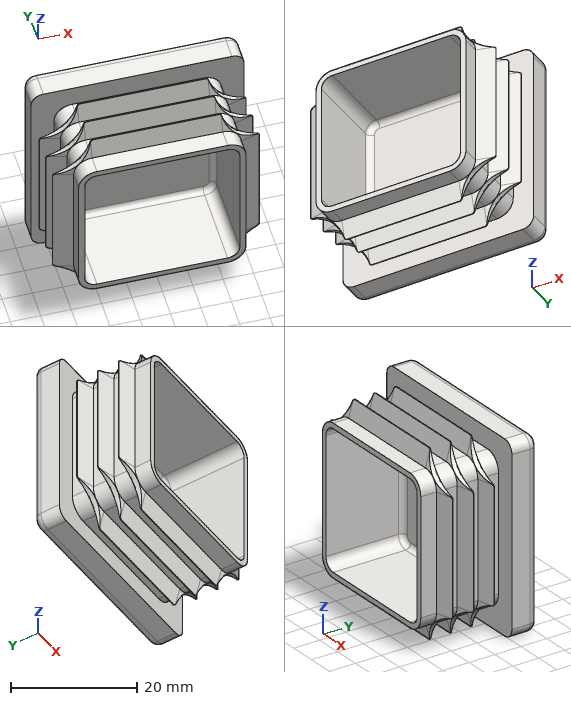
import cadquery as cq
import math

cap_side = 35.0
cap_thickness = 5.0
cap_corner_radius = 2.0
cap_edge_fillet = 1.5

total_depth = 20.0
plug_depth = total_depth - cap_thickness
plug_side = 27.5
plug_corner_radius = 3.0
plug_wall = 1.0
cavity_side = plug_side - 2 * plug_wall
cavity_corner_radius = plug_corner_radius - plug_wall
floor_fillet = 1.0

fin_count = 3
fin_side = 34.02
fin_offset = 3.0
fin_pitch = 4.0
fin_root_thickness = 0.98
fin_tip_thickness = 0.1
fin_tip_corner_radius = plug_corner_radius + (fin_side - plug_side) / 2
fin_notch_radius = 8.0
fin_notch_gap = 0.05
fin_end_fillet = 0.5


def rounded_square(side, corner_radius):
    """Sketch of a centred square with rounded corners."""
    return cq.Sketch().rect(side, side).vertices().fillet(corner_radius)


def make_cap():
    profile = rounded_square(cap_side, cap_corner_radius)
    cap = cq.Workplane("XZ").placeSketch(profile).extrude(-cap_thickness)
    return cap.faces(">Y").edges().fillet(cap_edge_fillet)


def make_plug():
    profile = rounded_square(plug_side, plug_corner_radius)
    return cq.Workplane("XZ").placeSketch(profile).extrude(plug_depth)


def make_cavity():
    """Hollow of the plug, with its floor level with the cap's inner face."""
    profile = rounded_square(cavity_side, cavity_corner_radius)
    cavity = cq.Workplane("XZ").placeSketch(profile).extrude(plug_depth)
    return cavity.faces(">Y").edges().fillet(floor_fillet)


def make_fin_outline():
    """Prism of the fin's square outline with a concave notch at each corner."""
    corner_centre = plug_side / 2 - plug_corner_radius
    diagonal_reach = plug_corner_radius + fin_notch_gap + fin_notch_radius
    notch_centre = corner_centre + diagonal_reach / math.sqrt(2)
    notch_spacing = 2 * notch_centre
    outline = cq.Workplane("XZ").rect(fin_side, fin_side).extrude(fin_root_thickness)
    notches = (
        cq.Workplane("XZ")
        .rect(notch_spacing, notch_spacing, forConstruction=True)
        .vertices()
        .circle(fin_notch_radius)
        .extrude(fin_root_thickness)
    )
    return outline.cut(notches).edges("|Y").fillet(fin_end_fillet)


def make_fin():
    """One fin with its flat face on y = 0, filled through the middle."""
    tip_profile = rounded_square(fin_side, fin_tip_corner_radius)
    root_profile = rounded_square(plug_side, plug_corner_radius)
    slope_height = fin_root_thickness - fin_tip_thickness
    root_location = cq.Location(cq.Vector(0, 0, slope_height))
    tip = cq.Workplane("XZ").placeSketch(tip_profile).extrude(fin_tip_thickness)
    slope = (
        cq.Workplane("XZ", origin=(0, -fin_tip_thickness, 0))
        .placeSketch(tip_profile, root_profile.moved(root_location))
        .loft(ruled=True)
    )
    return tip.union(slope).intersect(make_fin_outline())


result = make_cap().union(make_plug())
fin = make_fin()
for index in range(fin_count):
    fin_y = -fin_offset - index * fin_pitch
    result = result.union(fin.translate((0, fin_y, 0)))
result = result.cut(make_cavity())